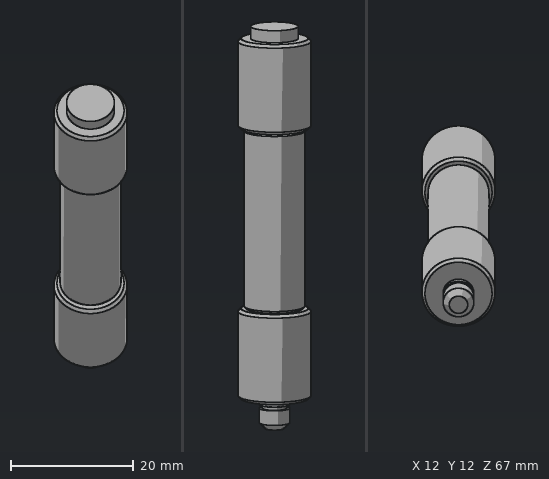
import cadquery as cq

total_height = 67.0
pin_length = 5.0
head_projection = 2.0
collar_length = 15.0

collar_diameter = 12.0
tube_diameter = 10.0
head_diameter = 7.85
pin_diameter = 5.0
groove_diameter = 4.0

collar_chamfer = 0.5
tube_chamfer = 0.4
tip_chamfer = 1.0
groove_width = 0.6
groove_offset = 1.0

lower_collar_top = pin_length + collar_length
upper_collar_top = total_height - head_projection
upper_collar_bottom = upper_collar_top - collar_length
tube_length = upper_collar_bottom - lower_collar_top
groove_top = pin_length - groove_offset


def cylinder(diameter, bottom, length):
    """Solid cylinder on the Z axis."""
    return cq.Workplane("XY").workplane(offset=bottom).circle(diameter / 2).extrude(length)


def make_sleeve(diameter, bore, bottom, length, chamfer):
    """Bored cylinder with both outer rims chamfered."""
    blank = cylinder(diameter, bottom, length).faces("<Z or >Z").edges().chamfer(chamfer)
    return blank.cut(cylinder(bore, bottom, length))


def make_shaft():
    """Shaft through the whole stack: grooved pin at the bottom, wide head at the top."""
    stem = cylinder(pin_diameter, 0, upper_collar_bottom).faces("<Z").edges().chamfer(tip_chamfer)
    head = cylinder(head_diameter, upper_collar_bottom, total_height - upper_collar_bottom)
    groove_bottom = groove_top - groove_width
    groove = cylinder(pin_diameter, groove_bottom, groove_width).cut(
        cylinder(groove_diameter, groove_bottom, groove_width)
    )
    return stem.union(head).cut(groove)


collars = [
    make_sleeve(collar_diameter, bore, bottom, collar_length, collar_chamfer)
    for bottom, bore in ((pin_length, pin_diameter), (upper_collar_bottom, head_diameter))
]
tube = make_sleeve(tube_diameter, pin_diameter, lower_collar_top, tube_length, tube_chamfer)
shaft = make_shaft()

result = cq.Compound.makeCompound([*[collar.val() for collar in collars], tube.val(), shaft.val()])